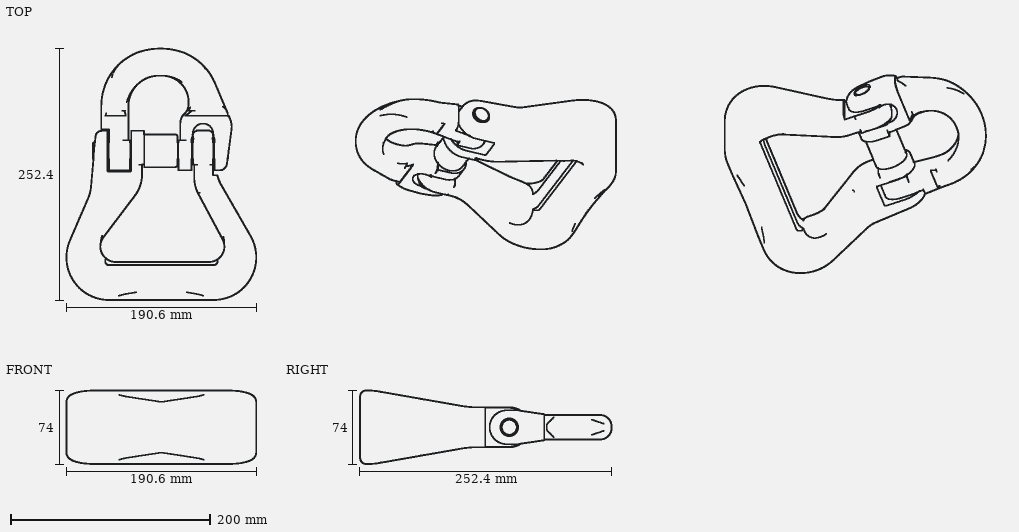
import cadquery as cq
import math


PIN_DIAMETER = 17.0
BORE_DIAMETER = 17.5
PIN_LEFT = -69.0
PIN_RIGHT = 67.0
PIN_END_CHAMFER = 1.0
SLEEVE_DIAMETER = 33.0
SLEEVE_LEFT = -17.2
SLEEVE_RIGHT = 16.5
SLEEVE_ROUND = 2.8

EAR_RADIUS = 20.2
SADDLE_BOTTOM = -149.7
SADDLE_HEIGHT = 74.0
SADDLE_HALF_HEIGHT = SADDLE_HEIGHT / 2
FLARE_START = -40.5
FLARE_END = -136.4
FLARE_BEND = 63.0
SADDLE_WIDTH = 190.6
CORNER_RADIUS = 43.0
CORNER_X = SADDLE_WIDTH / 2 - CORNER_RADIUS
CORNER_Y = SADDLE_BOTTOM + CORNER_RADIUS
LEFT_EAR_TOP_X = -65.6
LEFT_SHOULDER = (-71.2, -42.2)
RIGHT_SHOULDER = (55.3, -25.8)
EAR_NOTCH_FLOOR = -24.2
RIGHT_EAR_LEFT = 31.5
RIGHT_EAR_RIGHT = 52.0
RIGHT_ARM_INNER_X = 32.8
LEFT_ARM_INNER_X = -19.2
EAR_BOTTOM = -14.0
ARM_KNEE_Y = -35.4
ARM_KNEE_RADIUS = 35.4
OPENING_FLOOR = -111.4
OPENING_RADIUS = 15.5
OPENING_LEFT_CENTER = -45.7
OPENING_RIGHT_CENTER = 47.7
FORK_SLOT_LEFT = -54.0
FORK_SLOT_RIGHT = -30.3
FORK_SLOT_FLOOR = -20.7
FORK_SLOT_ROUND = 1.5
SADDLE_OUTER_ROUND = 6.3
EAR_ROUND = 1.3
LEFT_EAR_RIGHT = -17.2
SADDLE_INNER_ROUND = 3.0
SEAT_ROUND = 22.7
SEAT_OUTER_RADIUS = 26.8
WAIST_ROUND = 11.5
WAIST_SWEEP_RADIUS = 479.8
WAIST_SWEEP_ANGLE = 14.0

EYE_X = -2.8
EYE_Y = 45.2
EYE_RADIUS = 30.0
EYE_OUTER_RADIUS = 57.5
EYE_OFFSET = 3.8
EYE_HALF_HEIGHT = 12.4
EYE_TAPER_START = 40.5
EYE_TAPER_END = 9.3
EYE_TAPER_BEND = 38.0
LUG_BEND = 20.2
LUG_AXIS_Y = -2.8
LUG_RADIUS = 17.0
LUG_TOP = 10.9
LEFT_LEG_OUTER_X = EYE_X - EYE_OUTER_RADIUS
LEFT_LEG_INNER_X = EYE_X - EYE_RADIUS
LEFT_LEG_SHOULDER_Y = 21.2
LEFT_LUG_LEFT = -52.5
LEFT_LUG_RIGHT = -31.3
RIGHT_LUG_LEFT = 17.2
CHEEK_CORNER = (19.0, 32.8)
CHEEK_CORNER_ROUND = 12.5
EYE_MOUTH_ANGLE = -20.0
EYE_MOUTH_ROUND = 7.5
CHEEK_PEAK = (71.2, 26.8)
CHEEK_END = (63.6, -30.3)
CHEEK_ROUND = 20.2
RIGHT_SLOT_LEFT = 30.3
RIGHT_SLOT_RIGHT = 53.3
RIGHT_SLOT_RADIUS = 20.5
RELIEF_RADIUS = 10.4
RELIEF_LENGTH = 30.3
RELIEF_TILT = 26.0
EYE_OUTER_ROUND = 7.5
EYE_INNER_ROUND = 5.5
EYE_DISH_Y = 48.2
EYE_DISH_RADIUS = 37.0
EYE_DISH_ROUND = 11.5
CROWN_ROUND = 11.5
CROWN_DROP = 10.0

REACH = 202.0
HALF_REACH = REACH / 2
TOUCH = 0.003

UPPER_RIGHT = 45
UPPER_LEFT = 135
LOWER_LEFT = 225
LOWER_RIGHT = -45


def tangent_point(point, center, radius, side):
    """Point where a line from `point` touches a circle; side is +1 or -1 for the two solutions."""
    dx = point[0] - center[0]
    dy = point[1] - center[1]
    angle = math.atan2(dy, dx) + side * math.acos(radius / math.hypot(dx, dy))
    return (center[0] + radius * math.cos(angle), center[1] + radius * math.sin(angle))


def on_circle(center, radius, degrees):
    """Point on a circle at an angle measured from +X."""
    angle = math.radians(degrees)
    return (center[0] + radius * math.cos(angle), center[1] + radius * math.sin(angle))


def x_cylinder(diameter, left, right):
    """Cylinder on the pin axis."""
    return cq.Workplane("YZ").workplane(offset=left).circle(diameter / 2).extrude(right - left)


def x_prism(sketch):
    """Prism of a Y-Z outline, reaching well past the part on both sides."""
    return sketch.extrude(REACH, both=True)


def z_block(left, right, bottom, top):
    """Block in the X-Y plane that reaches well past the part in Z."""
    return cq.Workplane("XY").box(right - left, top - bottom, REACH).translate(
        ((left + right) / 2, (bottom + top) / 2, 0)
    )


def rim_edges(body, tool):
    """Edges of `body` that run along the upright walls of `tool`, without the upright edges."""
    walls = tool.faces("not |Z").vals()

    def on_wall(edge):
        middle = cq.Vertex.makeVertex(*edge.positionAt(0.5).toTuple())
        return min(wall.distance(middle) for wall in walls) < TOUCH

    return body.edges("not |Z").filter(on_wall)


def make_pin():
    """Pin with chamfered ends."""
    return x_cylinder(PIN_DIAMETER, PIN_LEFT, PIN_RIGHT).faces("<X or >X").chamfer(PIN_END_CHAMFER)


def make_sleeve():
    """Spacer sleeve on the pin, rounded at its free right end."""
    sleeve = x_cylinder(SLEEVE_DIAMETER, SLEEVE_LEFT, SLEEVE_RIGHT)
    sleeve = sleeve.faces(">X").edges().fillet(SLEEVE_ROUND)
    return sleeve.cut(x_cylinder(BORE_DIAMETER, -REACH, REACH))


def cove_section(plane, reach, radius):
    """Section that leaves a quarter round below it, tangent to height 0 at distance `reach`."""
    diagonal = radius * math.sqrt(0.5)
    return (
        cq.Workplane(plane)
        .moveTo(0, radius)
        .lineTo(reach, radius)
        .lineTo(reach, 0)
        .threePointArc((reach - diagonal, diagonal - radius), (reach - radius, -radius))
        .lineTo(0, -radius)
        .close()
    )


def saddle_side_profile():
    """Y-Z envelope: round ears at the pin, then a flare toward the wide bar."""
    prism = x_prism(
        cq.Workplane("YZ")
        .moveTo(0, EAR_RADIUS)
        .lineTo(FLARE_START, EAR_RADIUS)
        .lineTo(FLARE_END, SADDLE_HALF_HEIGHT)
        .lineTo(-REACH, SADDLE_HALF_HEIGHT)
        .lineTo(-REACH, -SADDLE_HALF_HEIGHT)
        .lineTo(FLARE_END, -SADDLE_HALF_HEIGHT)
        .lineTo(FLARE_START, -EAR_RADIUS)
        .lineTo(0, -EAR_RADIUS)
        .threePointArc((EAR_RADIUS, 0), (0, EAR_RADIUS))
        .close()
    )
    for y, z in ((FLARE_START, EAR_RADIUS), (FLARE_END, SADDLE_HALF_HEIGHT)):
        for side in (z, -z):
            bend = cq.selectors.NearestToPointSelector((0, y, side))
            prism = prism.edges(bend).fillet(FLARE_BEND)
    return prism


def saddle_outline():
    """Filled outer outline of the saddle."""
    left_corner = (-CORNER_X, CORNER_Y)
    right_corner = (CORNER_X, CORNER_Y)
    left_touch = tangent_point(LEFT_SHOULDER, left_corner, CORNER_RADIUS, 1)
    right_touch = tangent_point(RIGHT_SHOULDER, right_corner, CORNER_RADIUS, -1)
    return (
        cq.Workplane("XY")
        .moveTo(LEFT_EAR_TOP_X, REACH)
        .lineTo(LEFT_EAR_TOP_X, EAR_RADIUS)
        .lineTo(*LEFT_SHOULDER)
        .lineTo(*left_touch)
        .threePointArc(on_circle(left_corner, CORNER_RADIUS, LOWER_LEFT), (-CORNER_X, SADDLE_BOTTOM))
        .lineTo(CORNER_X, SADDLE_BOTTOM)
        .threePointArc(on_circle(right_corner, CORNER_RADIUS, LOWER_RIGHT), right_touch)
        .lineTo(*RIGHT_SHOULDER)
        .lineTo(RIGHT_SHOULDER[0], REACH)
        .close()
        .extrude(REACH, both=True)
        .edges(
            cq.selectors.NearestToPointSelector((*LEFT_SHOULDER, 0))
            + cq.selectors.NearestToPointSelector((*RIGHT_SHOULDER, 0))
        )
        .fillet(ARM_KNEE_RADIUS)
    )


def saddle_opening():
    """Space between the arms, open at the ears."""
    center_y = OPENING_FLOOR + OPENING_RADIUS
    left_center = (OPENING_LEFT_CENTER, center_y)
    right_center = (OPENING_RIGHT_CENTER, center_y)
    left_knee = (LEFT_ARM_INNER_X, ARM_KNEE_Y)
    right_knee = (RIGHT_ARM_INNER_X, ARM_KNEE_Y)
    return (
        cq.Workplane("XY")
        .moveTo(LEFT_ARM_INNER_X, REACH)
        .lineTo(*left_knee)
        .lineTo(*tangent_point(left_knee, left_center, OPENING_RADIUS, 1))
        .threePointArc(
            on_circle(left_center, OPENING_RADIUS, LOWER_LEFT),
            (OPENING_LEFT_CENTER, OPENING_FLOOR),
        )
        .lineTo(OPENING_RIGHT_CENTER, OPENING_FLOOR)
        .threePointArc(
            on_circle(right_center, OPENING_RADIUS, LOWER_RIGHT),
            tangent_point(right_knee, right_center, OPENING_RADIUS, -1),
        )
        .lineTo(*right_knee)
        .lineTo(RIGHT_ARM_INNER_X, REACH)
        .close()
        .extrude(REACH, both=True)
        .edges(
            cq.selectors.NearestToPointSelector((*left_knee, 0))
            + cq.selectors.NearestToPointSelector((*right_knee, 0))
        )
        .fillet(ARM_KNEE_RADIUS)
    )


def seat_cutter():
    """Tool that rounds the upper inner edge of the bar and of both corners of the saddle."""
    bar = cove_section("YZ", SEAT_OUTER_RADIUS, SEAT_ROUND).extrude(CORNER_X, both=True)
    bar = bar.rotate((0, 0, 0), (0, 0, 1), 180)
    corner = cove_section("XZ", SEAT_OUTER_RADIUS, SEAT_ROUND).revolve(360, (0, 0), (0, 1))
    tool = bar
    for x in (-CORNER_X, CORNER_X):
        tool = tool.union(corner.translate((x, 0, 0)))
    slope = math.atan2(SADDLE_HALF_HEIGHT - EAR_RADIUS, FLARE_START - FLARE_END)
    top_z = EAR_RADIUS + (FLARE_START - CORNER_Y) * math.tan(slope)
    return tool.rotate((0, 0, 0), (1, 0, 0), -math.degrees(slope)).translate((0, CORNER_Y, top_z))


def waist_cutter():
    """Tool for the bar's upper outer edge: a rounding that is largest at the middle of the bar."""
    outer_y = SADDLE_BOTTOM
    top_z = SADDLE_HALF_HEIGHT
    diagonal = math.sqrt(0.5)
    to_arc = WAIST_ROUND * (1 - diagonal)
    axis_y = outer_y - WAIST_SWEEP_RADIUS * diagonal
    axis_z = top_z + WAIST_SWEEP_RADIUS * diagonal
    return (
        cq.Workplane("YZ")
        .moveTo(outer_y + WAIST_ROUND, top_z)
        .threePointArc((outer_y + to_arc, top_z - to_arc), (outer_y, top_z - WAIST_ROUND))
        .lineTo(outer_y - WAIST_ROUND, top_z)
        .lineTo(outer_y, top_z + WAIST_ROUND)
        .close()
        .revolve(WAIST_SWEEP_ANGLE, (axis_y, axis_z), (axis_y + 2.5, axis_z + 2.5))
        .rotate((0, axis_y, axis_z), (0, axis_y + 2.5, axis_z + 2.5), -WAIST_SWEEP_ANGLE / 2)
    )


def saddle_ear(left, right, bottom, profile):
    """One plain ear, rounded along its curved rim."""
    ear = z_block(left, right, bottom, HALF_REACH).intersect(profile)
    return ear.faces("<X or >X").edges("not |Z").edges("not(<Y)").fillet(EAR_ROUND)


def fork_slot():
    """Slot in the left ear that takes the left lug of the upper link."""
    slot = z_block(FORK_SLOT_LEFT, FORK_SLOT_RIGHT, FORK_SLOT_FLOOR, HALF_REACH)
    return slot.edges("|Z and <Y").fillet(FORK_SLOT_ROUND)


def make_saddle():
    """Lower body: bar, two arms, a forked left ear and a single right ear."""
    profile = saddle_side_profile()
    outline = saddle_outline()
    opening = saddle_opening()
    saddle = outline.intersect(profile)
    saddle = rim_edges(saddle, outline).fillet(SADDLE_OUTER_ROUND)
    saddle = saddle.cut(opening)
    saddle = rim_edges(saddle, opening).fillet(SADDLE_INNER_ROUND)

    seat = seat_cutter()
    saddle = saddle.cut(seat).cut(seat.mirror("XY"))

    waist = waist_cutter()
    saddle = saddle.cut(waist).cut(waist.mirror("XY"))

    saddle = saddle.cut(z_block(RIGHT_EAR_RIGHT, HALF_REACH, EAR_NOTCH_FLOOR, HALF_REACH))
    saddle = saddle.union(saddle_ear(RIGHT_EAR_LEFT, RIGHT_EAR_RIGHT, EAR_BOTTOM, profile))
    saddle = saddle.union(saddle_ear(FORK_SLOT_LEFT, LEFT_EAR_RIGHT, EAR_BOTTOM, profile))
    saddle = saddle.cut(fork_slot())
    return saddle.cut(x_cylinder(BORE_DIAMETER, -REACH, REACH))


def upper_side_profile():
    """Y-Z envelope: flat eye, a taper growing toward the pin, and round lugs."""
    lug_end = LUG_AXIS_Y - LUG_RADIUS
    prism = x_prism(
        cq.Workplane("YZ")
        .moveTo(EYE_TAPER_START, EYE_HALF_HEIGHT)
        .lineTo(REACH, EYE_HALF_HEIGHT)
        .lineTo(REACH, -EYE_HALF_HEIGHT)
        .lineTo(EYE_TAPER_START, -EYE_HALF_HEIGHT)
        .lineTo(EYE_TAPER_END, -LUG_RADIUS)
        .lineTo(LUG_AXIS_Y, -LUG_RADIUS)
        .threePointArc((lug_end, 0), (LUG_AXIS_Y, LUG_RADIUS))
        .lineTo(EYE_TAPER_END, LUG_RADIUS)
        .close()
    )
    bends = (
        (EYE_TAPER_START, EYE_HALF_HEIGHT, EYE_TAPER_BEND),
        (EYE_TAPER_END, LUG_RADIUS, LUG_BEND),
    )
    for y, z, radius in bends:
        for side in (z, -z):
            bend = cq.selectors.NearestToPointSelector((0, y, side))
            prism = prism.edges(bend).fillet(radius)
    return prism


def upper_outline():
    """Filled outer outline: left leg, eye and the wider right cheek."""
    left_eye = (EYE_X, EYE_Y)
    right_eye = (EYE_X + EYE_OFFSET, EYE_Y)
    top = EYE_Y + EYE_OUTER_RADIUS
    touch = tangent_point(CHEEK_PEAK, right_eye, EYE_OUTER_RADIUS, 1)
    return (
        cq.Workplane("XY")
        .moveTo(LEFT_LEG_OUTER_X, CHEEK_END[1])
        .lineTo(LEFT_LEG_OUTER_X, EYE_Y)
        .threePointArc(on_circle(left_eye, EYE_OUTER_RADIUS, UPPER_LEFT), (EYE_X, top))
        .lineTo(right_eye[0], top)
        .threePointArc(on_circle(right_eye, EYE_OUTER_RADIUS, UPPER_RIGHT), touch)
        .lineTo(*CHEEK_PEAK)
        .lineTo(*CHEEK_END)
        .close()
        .extrude(REACH, both=True)
        .edges(cq.selectors.NearestToPointSelector((*CHEEK_PEAK, 0)))
        .fillet(CHEEK_ROUND)
    )


def eye_opening():
    """Eye hole, open toward the pin between the left leg and the right cheek."""
    eye = (EYE_X, EYE_Y)
    top = EYE_Y + EYE_RADIUS
    right_radius = EYE_RADIUS - EYE_OFFSET
    right_eye = (EYE_X + EYE_OFFSET, top - right_radius)
    mouth = on_circle(right_eye, right_radius, EYE_MOUTH_ANGLE)
    return (
        cq.Workplane("XY")
        .moveTo(LEFT_LEG_INNER_X, -HALF_REACH)
        .lineTo(LEFT_LEG_INNER_X, EYE_Y)
        .threePointArc(on_circle(eye, EYE_RADIUS, UPPER_LEFT), (EYE_X, top))
        .lineTo(right_eye[0], top)
        .threePointArc(on_circle(right_eye, right_radius, UPPER_RIGHT), mouth)
        .lineTo(*CHEEK_CORNER)
        .lineTo(CHEEK_CORNER[0], -HALF_REACH)
        .close()
        .extrude(REACH, both=True)
        .edges(cq.selectors.NearestToPointSelector((*CHEEK_CORNER, 0)))
        .fillet(CHEEK_CORNER_ROUND)
        .edges(cq.selectors.NearestToPointSelector((*mouth, 0)))
        .fillet(EYE_MOUTH_ROUND)
    )


def eye_crown():
    """Round-rimmed disc over the eye, which makes the outer rounding strongest at the top."""
    radius = EYE_OUTER_RADIUS + CROWN_DROP
    y = EYE_Y - CROWN_DROP
    disc = cq.Workplane("XY").circle(radius).extrude(EYE_HALF_HEIGHT, both=True)
    disc = disc.edges().fillet(CROWN_ROUND).translate((EYE_X + EYE_OFFSET / 2, y, 0))
    return disc.union(z_block(-HALF_REACH, HALF_REACH, -HALF_REACH, y))


def eye_dish():
    """Tool for the eye's upper inner rim: a rounding that is largest at the top of the eye."""
    dish = cove_section("XZ", EYE_DISH_RADIUS, EYE_DISH_ROUND).revolve(360, (0, 0), (0, 1))
    dish = dish.translate((EYE_X, EYE_DISH_Y, EYE_HALF_HEIGHT))
    return dish.intersect(z_block(-HALF_REACH, HALF_REACH, EYE_TAPER_START, HALF_REACH))


def lug(left, right, profile):
    """Sharp-edged lug around the pin."""
    return z_block(left, right, -HALF_REACH, LUG_TOP).intersect(profile)


def right_slot():
    """Ring-shaped slot for the right ear, with a slanted round-ended relief at each entry."""
    middle = (RIGHT_SLOT_LEFT + RIGHT_SLOT_RIGHT) / 2
    tilted_radius = RELIEF_RADIUS / math.cos(math.radians(RELIEF_TILT))
    slot = x_cylinder(2 * RIGHT_SLOT_RADIUS, RIGHT_SLOT_LEFT, RIGHT_SLOT_RIGHT)
    relief = (
        cq.Workplane("XY")
        .circle(RELIEF_RADIUS)
        .extrude(RELIEF_LENGTH)
        .rotate((0, 0, 0), (1, 0, 0), -RELIEF_TILT)
        .translate((middle, RIGHT_SLOT_RADIUS - tilted_radius, 0))
    )
    return slot.union(relief).union(relief.mirror("XY"))


def make_upper_link():
    """Upper body: eye, single left lug and a slotted right cheek."""
    profile = upper_side_profile()
    outline = upper_outline()
    opening = eye_opening()
    link = outline.intersect(profile)
    link = rim_edges(link, outline).fillet(EYE_OUTER_ROUND)
    link = link.cut(opening)
    link = rim_edges(link, opening).fillet(EYE_INNER_ROUND)
    link = link.intersect(eye_crown())
    dish = eye_dish()
    link = link.cut(dish).cut(dish.mirror("XY"))

    link = link.cut(z_block(-HALF_REACH, RIGHT_SLOT_RIGHT, -HALF_REACH, LUG_TOP))
    link = link.cut(z_block(-HALF_REACH, LEFT_LUG_LEFT, -HALF_REACH, LEFT_LEG_SHOULDER_Y))
    link = link.union(lug(LEFT_LUG_LEFT, LEFT_LUG_RIGHT, profile))
    link = link.union(lug(RIGHT_LUG_LEFT, RIGHT_SLOT_RIGHT, profile))
    link = link.cut(right_slot())
    return link.cut(x_cylinder(BORE_DIAMETER, -REACH, REACH))


pin = make_pin()
sleeve = make_sleeve()
saddle = make_saddle()
upper_link = make_upper_link()

bodies = [pin, sleeve, saddle, upper_link]
result = cq.Compound.makeCompound([body.solids().val() for body in bodies])